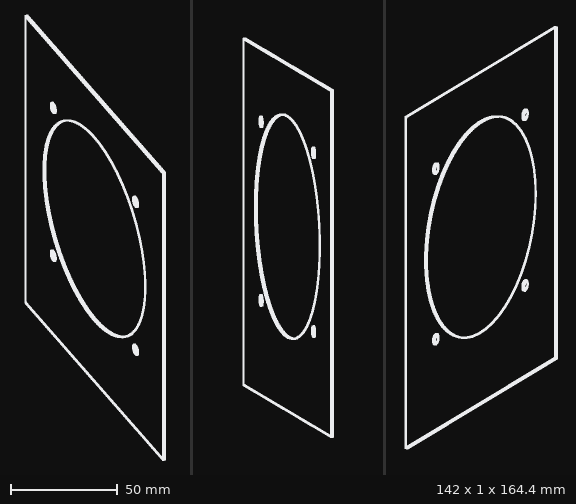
import cadquery as cq

plate_width = 142.0
plate_height = 164.4
plate_thickness = 1.0

opening_diameter = 105.0
opening_rise = 5.3

screw_hole_diameter = 5.0
screw_hole_spacing = 84.8

plate = cq.Workplane("XY").box(plate_width, plate_thickness, plate_height)

cutter_plane = cq.Workplane("XZ").center(0, opening_rise)
opening = cutter_plane.circle(opening_diameter / 2).extrude(plate_thickness, both=True)
screw_holes = (
    cutter_plane
    .rect(screw_hole_spacing, screw_hole_spacing, forConstruction=True)
    .vertices()
    .circle(screw_hole_diameter / 2)
    .extrude(plate_thickness, both=True)
)

result = plate.cut(opening).cut(screw_holes)